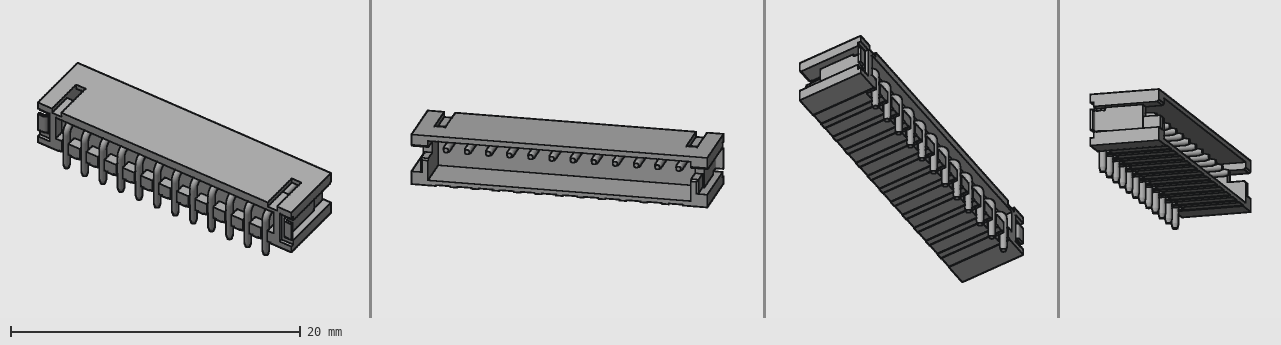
import cadquery as cq

length = 21.0
depth = 5.0
height = 3.65
half_length = length / 2

cavity_front = 1.87
cavity_wall_inset = 1.18
plate_thickness = 0.38

channel_inset = 0.52
channel_bottom = 0.95
channel_top = 2.77
rear_wall_inset = 0.65
wall_notch_front = 3.65
wall_notch_floor = 1.95
edge_chamfer = 0.13

recess_inset = 0.97
recess_bottom = 0.55
recess_top = 3.09
recess_depth = 0.25

pocket_inset = 1.47
pocket_bottom = 1.05
pocket_top = 2.96
pocket_depth = 0.75
pin_slot_width = 0.55
groove_width = 1.0
groove_depth = 0.06

top_slot_width = 0.78
top_slot_length = 3.02

tab_thickness = 0.19
tab_bend_radius = 0.25
tab_bottom = 1.13
tab_top = 2.58
tab_shoulder = 0.95
tab_shoulder_radius = 0.1

pin_count = 12
pin_row_span = 16.5
pin_pitch = pin_row_span / (pin_count - 1)
pin_radius = 0.25
pin_tip_radius = 0.17
pin_tip_length = 0.32
pin_leg_y = 0.2
pin_row_z = 2.35
pin_bend_radius = 0.6
pin_back_end = 4.12
pin_bottom_end = -1.35

pin_positions = [(i - (pin_count - 1) / 2) * pin_pitch for i in range(pin_count)]


def block(x0, x1, y0, y1, z0, z1):
    """Box between two opposite corners."""
    return cq.Workplane("XY").box(x1 - x0, y1 - y0, z1 - z0, centered=False).translate((x0, y0, z0))


def mirrored(left_end):
    """A feature of the -X end together with its copy at the +X end."""
    return left_end.union(left_end.mirror("YZ"))


def end_channel():
    """Side channel, the lowered wall behind it and the chamfers at the back, for the -X end."""
    front_wall_outside = channel_inset - half_length
    rear_wall_outside = rear_wall_inset - half_length
    wall_inside = cavity_wall_inset - half_length
    channel = block(-half_length, front_wall_outside, 0, depth, channel_bottom, channel_top)
    rear_step = block(-half_length, rear_wall_outside, wall_notch_front, depth, channel_bottom, channel_top)
    notch = block(rear_wall_outside, wall_inside, wall_notch_front, depth, wall_notch_floor, channel_top)
    flange_chamfer = (
        cq.Workplane("YZ", origin=(-half_length, 0, 0))
        .moveTo(depth, channel_top)
        .lineTo(depth, channel_top + edge_chamfer)
        .lineTo(depth - edge_chamfer, channel_top)
        .close()
        .extrude(cavity_wall_inset)
    )
    wall_top_chamfer = (
        cq.Workplane("YZ", origin=(rear_wall_outside, 0, 0))
        .moveTo(depth, wall_notch_floor)
        .lineTo(depth, wall_notch_floor - edge_chamfer)
        .lineTo(depth - edge_chamfer, wall_notch_floor)
        .close()
        .extrude(wall_inside - rear_wall_outside)
    )
    wall_side_chamfer = (
        cq.Workplane("XY", origin=(0, 0, channel_bottom))
        .moveTo(rear_wall_outside, depth)
        .lineTo(rear_wall_outside + edge_chamfer, depth)
        .lineTo(rear_wall_outside, depth - edge_chamfer)
        .close()
        .extrude(wall_notch_floor - channel_bottom)
    )
    cutter = channel
    for piece in (rear_step, notch, flange_chamfer, wall_top_chamfer, wall_side_chamfer):
        cutter = cutter.union(piece)
    return cutter


def front_recess():
    """Shallow recess in the front face at the -X end."""
    return block(-half_length, recess_inset - half_length, 0, recess_depth, recess_bottom, recess_top)


def top_slot():
    """Slot in the top face at the -X end; it breaks into the cavity behind the solid front part."""
    left = cavity_wall_inset - half_length
    return block(left, left + top_slot_width, 0, top_slot_length, height - plate_thickness, height)


def front_pocket():
    """Pocket in the front face, with a slot through its sill at every pin."""
    pocket_half = half_length - pocket_inset
    slot_half = pin_slot_width / 2
    pocket = block(-pocket_half, pocket_half, 0, pocket_depth, pocket_bottom, pocket_top)
    for x in pin_positions:
        pocket = pocket.union(block(x - slot_half, x + slot_half, 0, pocket_depth, 0, pocket_bottom))
    return pocket


def underside_grooves():
    """Shallow grooves under the pins, running the full depth of the body."""
    groove_half = groove_width / 2
    grooves = cq.Workplane("XY")
    for x in pin_positions:
        grooves = grooves.union(block(x - groove_half, x + groove_half, 0, depth, 0, groove_depth))
    return grooves


def housing():
    """Plastic body without tabs and pins."""
    cavity_half = half_length - cavity_wall_inset
    cavity = block(-cavity_half, cavity_half, cavity_front, depth, plate_thickness, height - plate_thickness)
    body = block(-half_length, half_length, 0, depth, 0, height).cut(cavity)
    for cutter in (end_channel(), front_recess(), tab_clearance(), top_slot()):
        body = body.cut(mirrored(cutter))
    return body.cut(front_pocket()).cut(underside_grooves())


def tab_clearance():
    """Gaps in the -X end wall above and below the tab, rounded where they end beside it."""
    outer = channel_inset - half_length
    inner = outer + tab_thickness
    above = block(outer, inner, 0, tab_shoulder, tab_top, channel_top)
    below = block(outer, inner, 0, tab_shoulder, channel_bottom, tab_bottom)
    above = above.edges("|X and >Y and <Z").fillet(tab_shoulder_radius)
    below = below.edges("|X and >Y and >Z").fillet(tab_shoulder_radius)
    return above.union(below)


def solder_tab():
    """Sheet tab along the -X end wall, bent outward at the front."""
    outer = channel_inset - half_length
    inner = outer + tab_thickness
    flange = block(-half_length, inner, 0, tab_thickness, tab_bottom, tab_top)
    strip = block(outer, inner, 0, tab_shoulder, tab_bottom, tab_top)
    bent = flange.union(strip).edges("|Z and >X and <Y").fillet(tab_bend_radius)
    inner_corner = cq.selectors.NearestToPointSelector((outer, tab_thickness, (tab_bottom + tab_top) / 2))
    return bent.edges(inner_corner).fillet(tab_bend_radius - tab_thickness)


def pin(x):
    """Round pin bent from the horizontal mating end to the vertical leg, with tapered tips."""
    bend_end_y = pin_leg_y + pin_bend_radius
    bend_end_z = pin_row_z - pin_bend_radius
    straight_back = pin_back_end - pin_tip_length
    straight_bottom = pin_bottom_end + pin_tip_length
    mating_end = (
        cq.Workplane("XZ", origin=(x, bend_end_y, pin_row_z))
        .circle(pin_radius)
        .extrude(bend_end_y - straight_back)
    )
    bend = (
        cq.Workplane("XZ", origin=(x, bend_end_y, pin_row_z))
        .circle(pin_radius)
        .revolve(90, (0, -pin_bend_radius, 0), (1, -pin_bend_radius, 0))
    )
    leg = (
        cq.Workplane("XY", origin=(x, pin_leg_y, straight_bottom))
        .circle(pin_radius)
        .extrude(bend_end_z - straight_bottom)
    )
    back_tip = cq.Solid.makeCone(
        pin_radius, pin_tip_radius, pin_tip_length, cq.Vector(x, straight_back, pin_row_z), cq.Vector(0, 1, 0)
    )
    bottom_tip = cq.Solid.makeCone(
        pin_radius, pin_tip_radius, pin_tip_length, cq.Vector(x, pin_leg_y, straight_bottom), cq.Vector(0, 0, -1)
    )
    return mating_end.union(bend).union(leg).union(back_tip).union(bottom_tip)


result = housing().union(mirrored(solder_tab()))
for pin_x in pin_positions:
    result = result.union(pin(pin_x))